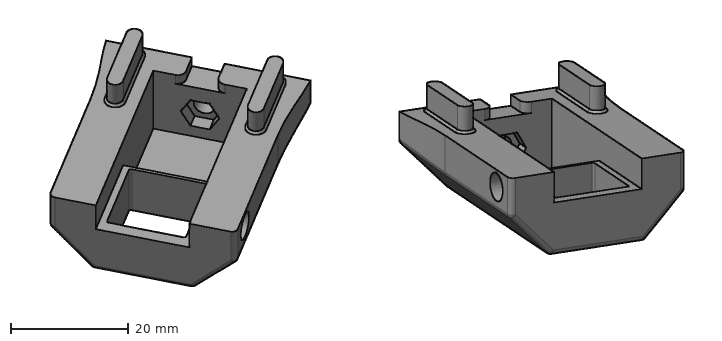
import cadquery as cq
import math

length = 40.4
body_height = 15.0
half_width = 16.6
back_half_width = 18.16
side_bottom = 7.95
bottom_half_width = 8.93
flare_start = 25.65
flare_mid = 34.35
flare_mid_widening = 0.75
flare_end_slope = 0.07
edge_radius = 1.0

cavity_width = 16.55
ledge_height = 9.5
ledge_length = 16.75
pocket_floor = 1.58
back_wall = 5.05
window_size = 14.0
window_front = 2.2
window_radius = 0.4

notch_width = 5.78
notch_depth = 2.0
notch_radius = 1.5

nut_flats = 5.9
nut_depth = 2.55
bolt_diameter = 3.7
bolt_height = 6.85

side_hole_diameter = 5.0
side_hole_depth = 7.27
side_hole_y = 5.37
side_hole_z = 11.88

key_height = 4.8
key_width = 2.83
key_length = 14.62
key_x = 12.5
key_back_gap = 0.75
key_foot = 0.45


def box(width, y_start, y_end, z_start, z_end):
    """Block centred on X = 0 between the given Y and Z limits."""
    return (
        cq.Workplane("XY", origin=(0, (y_start + y_end) / 2, z_start))
        .rect(width, y_end - y_start)
        .extrude(z_end - z_start)
    )


def make_body():
    flare_middle = half_width + flare_mid_widening
    plan = (
        cq.Workplane("XY")
        .moveTo(-half_width, 0)
        .lineTo(half_width, 0)
        .lineTo(half_width, flare_start)
        .spline(
            [(flare_middle, flare_mid), (back_half_width, length)],
            tangents=[(0, 1), (flare_end_slope, 1)],
            includeCurrent=True,
        )
        .lineTo(-back_half_width, length)
        .spline(
            [(-flare_middle, flare_mid), (-half_width, flare_start)],
            tangents=[(flare_end_slope, -1), (0, -1)],
            includeCurrent=True,
        )
        .close()
        .extrude(body_height)
    )
    slope_run_per_rise = (half_width - bottom_half_width) / side_bottom
    slope_half_width = bottom_half_width + slope_run_per_rise * body_height
    section = (
        cq.Workplane("XZ")
        .polyline([
            (-bottom_half_width, 0),
            (bottom_half_width, 0),
            (slope_half_width, body_height),
            (-slope_half_width, body_height),
        ])
        .close()
        .extrude(-length)
    )
    body = plan.intersect(section)
    return body.edges("not(>Z or >Y)").fillet(edge_radius)


def cut_cavity(body):
    ledge = box(cavity_width, 0, ledge_length, ledge_height, body_height)
    pocket = box(cavity_width, ledge_length, length - back_wall, pocket_floor, body_height)
    window = box(window_size, window_front, window_front + window_size, 0, ledge_height)
    window = window.edges("|Z").fillet(window_radius)
    return body.cut(ledge).cut(pocket).cut(window)


def cut_notch(body):
    notch = box(notch_width, length - back_wall, length, body_height - notch_depth, body_height)
    body = body.cut(notch)
    margin = notch_radius / 2
    mouth = cq.selectors.BoxSelector(
        (-notch_width, length - back_wall - margin, body_height - notch_depth),
        (notch_width, length - back_wall + margin, body_height),
    )
    return body.edges("|Z").edges(mouth).fillet(notch_radius)


def cut_nut_seat(body):
    nut_corners = nut_flats / math.cos(math.pi / 6)
    inner_face = cq.Workplane("XZ", origin=(0, length - back_wall, bolt_height))
    nut = inner_face.polygon(6, nut_corners).extrude(-nut_depth)
    bolt = inner_face.circle(bolt_diameter / 2).extrude(-back_wall)
    return body.cut(nut).cut(bolt)


def cut_side_holes(body):
    for side in (-1, 1):
        hole = (
            cq.Workplane("YZ", origin=(side * half_width, side_hole_y, side_hole_z))
            .circle(side_hole_diameter / 2)
            .extrude(-side * side_hole_depth)
        )
        body = body.cut(hole)
    return body


def add_keys(body):
    key_y = length - key_back_gap - key_length / 2
    for side in (-1, 1):
        base = cq.Workplane("XY", origin=(side * key_x, key_y, body_height))
        key = base.slot2D(key_length, key_width, 90).extrude(key_height)
        foot = (
            base.slot2D(key_length + 2 * key_foot, key_width + 2 * key_foot, 90)
            .extrude(key_foot, taper=45)
        )
        body = body.union(key).union(foot)
    return body


result = make_body()
result = cut_cavity(result)
result = cut_notch(result)
result = cut_nut_seat(result)
result = cut_side_holes(result)
result = add_keys(result)